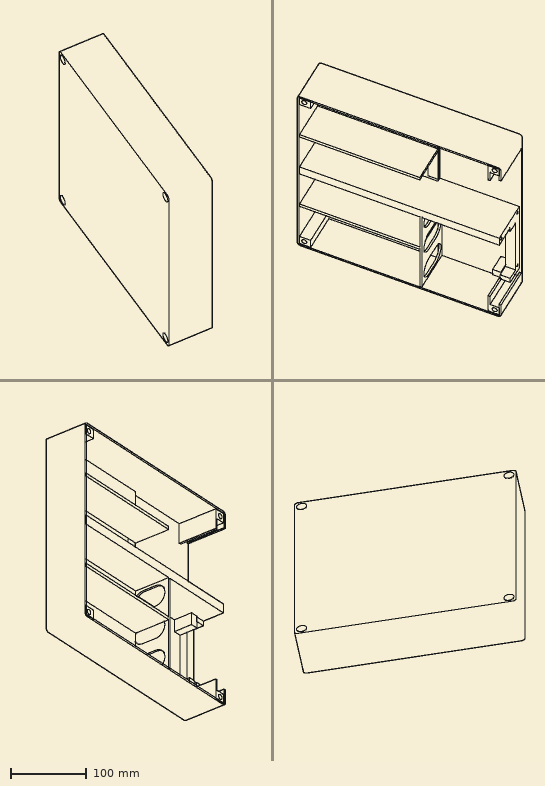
import cadquery as cq

side = 300.0
depth = 66.0
wall = 3.0
corner_radius = 5.0
half_side = side / 2
half_depth = depth / 2
inner_half = half_side - wall
floor_y = -half_depth + wall
back_recess = 1.0
inside_y = (floor_y, half_depth - back_recess)

opening_half = 125.0
groove_half = 133.0
rib_half = 116.7
rib_front_x = -133.5
rib_thickness = 3.0
rib_back_x = rib_front_x + rib_thickness

screw_inset = 10.0
screw_diameter = 7.2
sink_diameter = 13.5
sink_angle = 45.0

bar_top = 7.2
bar_bottom = -7.0
frame_back_x = -132.0
column_y = -18.3
step_y = -1.8
upper_step_z = -14.0
lower_step_z = -108.5
pilot_diameter = 3.5
pilot_depth = 9.0
pilot_places = [(25.8, 0), (-24.5, 0), (-24.5, -106.0)]

block_back_x = -120.0
upper_block_y = -0.5
upper_block_z = -25.2
lower_block_y = -4.2
lower_block_z = -106.2

inside_x = -30.0
raised_floor_y = -24.0
shelf_z = 70.0
shelf_thickness = 4.8
partition_thickness = 3.0
slot_width = 31.8
slot_length = 52.8
slot_pitch = 50.0
slot_y = -1.0
first_slot_z = -27.0
slot_count = 3
pocket_y = (-27.5, -25.2)
pocket_z = (9.5, 115.5)
pocket_depth = 15.0


def box(x_range, y_range, z_range):
    """Axis-aligned block given by its limits along X, Y and Z."""
    size = [high - low for low, high in (x_range, y_range, z_range)]
    corner = (x_range[0], y_range[0], z_range[0])
    return cq.Workplane("XY").box(*size, centered=False).translate(corner)


def make_shell():
    """Rounded tray with a side opening that runs out at the back."""
    shell = cq.Workplane("XY").box(side, depth, side).edges("|Y").fillet(corner_radius)
    inner = (-inner_half, inner_half)
    shell = shell.cut(box(inner, (floor_y, half_depth), inner))
    opening = box((-half_side, -inner_half), (floor_y, half_depth), (-opening_half, opening_half))
    return shell.cut(opening)


def make_edge_rails():
    """Screw rails along the top and bottom, with the groove ribs on the -X side."""
    rail = box((-inner_half, rib_back_x), inside_y, (groove_half, inner_half))
    rails = rail.union(rail.mirror("YZ"))
    rails = rails.union(box((rib_front_x, rib_back_x), inside_y, (rib_half, groove_half)))
    return rails.union(rails.mirror("XY"))


def make_frame():
    """Middle bar with the C-shaped frame below it and the blocks behind the frame."""
    frame_x = (-inner_half, frame_back_x)
    block_x = (frame_back_x, block_back_x)
    frame = box((-inner_half, inner_half), inside_y, (bar_bottom, bar_top))
    frame = frame.union(box(frame_x, (floor_y, column_y), (-rib_half, bar_bottom)))
    frame = frame.union(box(frame_x, (floor_y, step_y), (upper_step_z, bar_bottom)))
    frame = frame.union(box(frame_x, (floor_y, step_y), (-rib_half, lower_step_z)))
    frame = frame.union(box(block_x, (floor_y, upper_block_y), (upper_block_z, bar_bottom)))
    frame = frame.union(box(block_x, (floor_y, lower_block_y), (-rib_half, lower_block_z)))
    pilots = (
        cq.Workplane("YZ", origin=(-inner_half, 0, 0))
        .pushPoints(pilot_places)
        .circle(pilot_diameter / 2)
        .extrude(pilot_depth)
    )
    return frame.cut(pilots)


def make_interior():
    """Raised floor with a pocket, two shelves and the slotted lower partition."""
    inside = (inside_x, inner_half)
    interior = box(inside, (floor_y, raised_floor_y), (-inner_half, inner_half))
    for z in (-shelf_z, shelf_z):
        shelf_range = (z - shelf_thickness / 2, z + shelf_thickness / 2)
        interior = interior.union(box(inside, inside_y, shelf_range))
    interior = interior.cut(box((inside_x, inside_x + pocket_depth), pocket_y, pocket_z))

    partition_x = (inside_x - partition_thickness, inside_x)
    partition = box(partition_x, inside_y, (-inner_half, 0))
    slot_places = [(slot_y, first_slot_z - i * slot_pitch) for i in range(slot_count)]
    slots = (
        cq.Workplane("YZ", origin=(partition_x[0], 0, 0))
        .pushPoints(slot_places)
        .slot2D(slot_length, slot_width)
        .extrude(partition_thickness)
    )
    return interior.union(partition.cut(slots))


def drill_corner_screws(body):
    """Countersunk holes from the front plate through the full depth."""
    spacing = side - 2 * screw_inset
    return (
        body.faces("<Y")
        .workplane(origin=(0, -half_depth, 0))
        .rect(spacing, spacing, forConstruction=True)
        .vertices()
        .cskHole(screw_diameter, sink_diameter, sink_angle)
    )


body = make_shell().union(make_edge_rails()).union(make_interior()).union(make_frame())
result = drill_corner_screws(body)